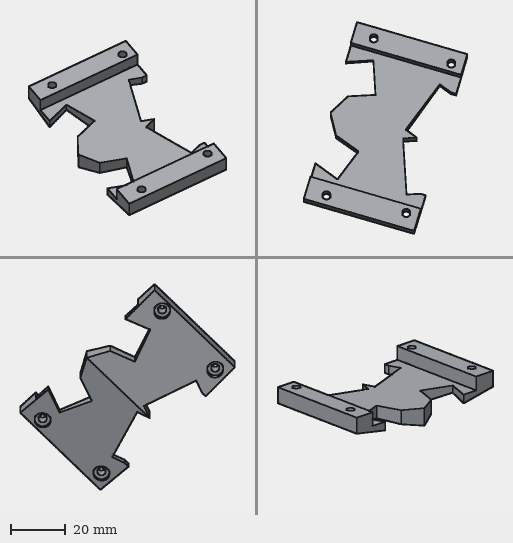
import cadquery as cq
import math

LENGTH = 68.5
DEPTH = 42.0
HEIGHT = 12.3
LEFT_REACH = 34.0
RIGHT_REACH = LENGTH - LEFT_REACH

CHANNEL_HALF_WIDTH = 25.95
CHANNEL_DEPTH = 5.4
CHANNEL_FLOOR = HEIGHT - CHANNEL_DEPTH

KEEL_SLOPE = math.tan(math.radians(10))
CUT_SLOPE = math.tan(math.radians(20))
NOSE_SLOPE = math.tan(math.radians(30))

OPENING_HALF_WIDTH = 19.65
FRONT_CORNER_Y = 9.45
NOSE_HALF_WIDTH = 7.6
NOSE_ROOT_HALF_WIDTH = 10.95
BACK_STRAIGHT_Y = 39.95
BACK_CORNER_Y = 35.3
SPIKE_HALF_WIDTH = 1.7
SPIKE_HEIGHT = SPIKE_HALF_WIDTH / CUT_SLOPE

SCREW_DIAMETER = 3.0
HEAD_DIAMETER = 5.9
HEAD_SEAT = CHANNEL_FLOOR
BACK_HOLE_X = 29.0
BACK_HOLE_Y = 37.4
FRONT_HOLE_LEFT_X = 29.95
FRONT_HOLE_RIGHT_X = 30.95
FRONT_HOLE_Y = 7.6
HOLES = [
    (-BACK_HOLE_X, BACK_HOLE_Y),
    (BACK_HOLE_X, BACK_HOLE_Y),
    (-FRONT_HOLE_LEFT_X, FRONT_HOLE_Y),
    (FRONT_HOLE_RIGHT_X, FRONT_HOLE_Y),
]


def channel_body():
    """Channel with a V-shaped underside, extruded from front to back."""
    profile = [
        (0, 0),
        (RIGHT_REACH, RIGHT_REACH * KEEL_SLOPE),
        (RIGHT_REACH, HEIGHT),
        (CHANNEL_HALF_WIDTH, HEIGHT),
        (CHANNEL_HALF_WIDTH, CHANNEL_FLOOR),
        (-CHANNEL_HALF_WIDTH, CHANNEL_FLOOR),
        (-CHANNEL_HALF_WIDTH, HEIGHT),
        (-LEFT_REACH, HEIGHT),
        (-LEFT_REACH, LEFT_REACH * KEEL_SLOPE),
    ]
    return cq.Workplane("XZ").polyline(profile).close().extrude(-DEPTH)


def vertical_cutter(outline):
    """Prism through the full height of the part."""
    return cq.Workplane("XY").polyline(outline).close().extrude(HEIGHT)


def front_cutter():
    """Opening on the right of the pointed nose."""
    corner_x = OPENING_HALF_WIDTH + FRONT_CORNER_Y * CUT_SLOPE
    root_y = FRONT_CORNER_Y + (corner_x - NOSE_ROOT_HALF_WIDTH) * CUT_SLOPE
    return vertical_cutter([
        (0, 0),
        (OPENING_HALF_WIDTH, 0),
        (corner_x, FRONT_CORNER_Y),
        (NOSE_ROOT_HALF_WIDTH, root_y),
        (NOSE_HALF_WIDTH, NOSE_HALF_WIDTH * NOSE_SLOPE),
    ])


def back_cutter():
    """Opening on the right of the small spike."""
    corner_x = OPENING_HALF_WIDTH + (BACK_STRAIGHT_Y - BACK_CORNER_Y) * CUT_SLOPE
    spike_root_y = BACK_CORNER_Y - (corner_x - SPIKE_HALF_WIDTH) * CUT_SLOPE
    return vertical_cutter([
        (0, DEPTH),
        (OPENING_HALF_WIDTH, DEPTH),
        (OPENING_HALF_WIDTH, BACK_STRAIGHT_Y),
        (corner_x, BACK_CORNER_Y),
        (SPIKE_HALF_WIDTH, spike_root_y),
        (0, spike_root_y + SPIKE_HEIGHT),
    ])


def screw_holes():
    """Through holes with head recesses opening in the underside."""
    shanks = cq.Workplane("XY").pushPoints(HOLES).circle(SCREW_DIAMETER / 2).extrude(HEIGHT)
    heads = cq.Workplane("XY").pushPoints(HOLES).circle(HEAD_DIAMETER / 2).extrude(HEAD_SEAT)
    return shanks.union(heads)


result = channel_body()
for cutter in (front_cutter(), back_cutter()):
    result = result.cut(cutter).cut(cutter.mirror("YZ"))
result = result.cut(screw_holes())